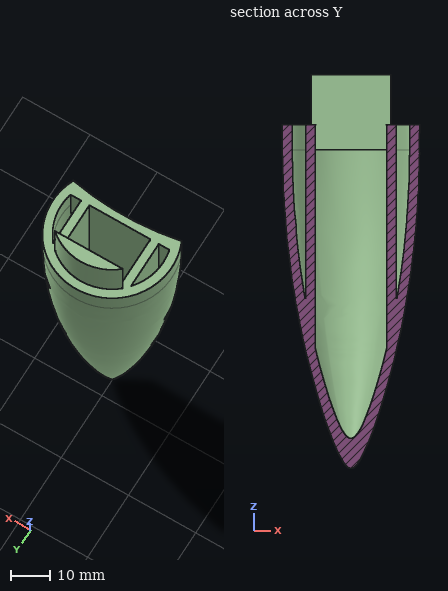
import cadquery as cq
import math

total_height = 108.0
body_height = 95.2
straight_start = 88.8

outer_radius = 17.76
wall = 2.6
inner_radius = outer_radius - wall

front_ridge_y = -5.9
front_corner_y = -7.5
front_corner_x = math.sqrt(outer_radius**2 - front_corner_y**2)
cavity_front_y = -3.8

web_inner_x = 9.1
web_thickness = 2.5
tongue_front_y = 11.4
tongue_radius = 15.27

nose_arc_radius = (straight_start**2 + outer_radius**2) / (2 * outer_radius)
nose_center_x = outer_radius - nose_arc_radius


def bullet(radius, top):
    """Pointed solid of revolution whose nose arc shares the outer arc's center."""
    arc_radius = radius - nose_center_x
    tip_z = straight_start - math.sqrt(arc_radius**2 - nose_center_x**2)
    mid_angle = math.asin((straight_start - tip_z) / arc_radius) / 2
    mid_point = (
        nose_center_x + arc_radius * math.cos(mid_angle),
        straight_start - arc_radius * math.sin(mid_angle),
    )
    return (
        cq.Workplane("XZ")
        .moveTo(0, tip_z)
        .threePointArc(mid_point, (radius, straight_start))
        .lineTo(radius, top)
        .lineTo(0, top)
        .close()
        .revolve(360, (0, 0, 0), (0, 1, 0))
    )


def front_scoop():
    """Vertical cylinder that hollows the front face."""
    sagitta = front_ridge_y - front_corner_y
    scoop_radius = (front_corner_x**2 + sagitta**2) / (2 * sagitta)
    return (
        cq.Workplane("XY")
        .center(0, front_ridge_y - scoop_radius)
        .circle(scoop_radius)
        .extrude(body_height)
    )


def bay(x_min, x_max):
    """Upright block limiting the cavity to one bay behind the front wall."""
    return cq.Workplane("XY").box(
        x_max - x_min, outer_radius - cavity_front_y, body_height, centered=False
    ).translate((x_min, cavity_front_y, 0))


def tongue():
    """Circular-segment tongue set into the rear of the middle bay."""
    half_width = math.sqrt(tongue_radius**2 - tongue_front_y**2)
    return (
        cq.Workplane("XY")
        .workplane(offset=straight_start)
        .moveTo(-half_width, tongue_front_y)
        .threePointArc((0, tongue_radius), (half_width, tongue_front_y))
        .close()
        .extrude(total_height - straight_start)
    )


result = bullet(outer_radius, body_height).cut(front_scoop())

cavity = bullet(inner_radius, body_height)
web_outer_x = web_inner_x + web_thickness
bay_limits = [
    (-outer_radius, -web_outer_x),
    (-web_inner_x, web_inner_x),
    (web_outer_x, outer_radius),
]
for x_min, x_max in bay_limits:
    result = result.cut(cavity.intersect(bay(x_min, x_max)))

result = result.union(tongue())